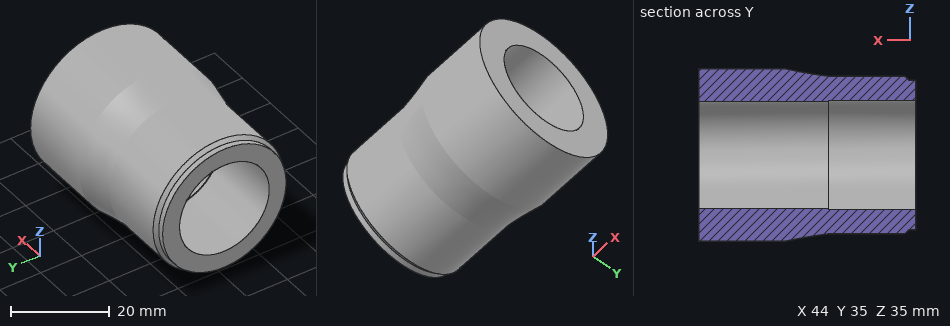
import cadquery as cq

length = 44.0
lip_length = 1.35
chamfer_end = 2.2
flare_start = 17.7
flare_end = 26.4

lip_diameter = 30.3
neck_diameter = 32.0
body_diameter = 35.0

mouth_diameter = 22.0
bore_diameter = 21.65
mouth_end = flare_start

flare_middle = (flare_start + flare_end) / 2
flare_middle_radius = 16.65

outline = (
    cq.Workplane("XY")
    .moveTo(0, 0)
    .lineTo(0, lip_diameter / 2)
    .lineTo(lip_length, lip_diameter / 2)
    .lineTo(chamfer_end, neck_diameter / 2)
    .lineTo(flare_start, neck_diameter / 2)
    .threePointArc((flare_middle, flare_middle_radius), (flare_end, body_diameter / 2))
    .lineTo(length, body_diameter / 2)
    .lineTo(length, 0)
    .close()
)
outer_body = outline.revolve(360, (0, 0, 0), (1, 0, 0))


def bore(diameter, depth):
    """Cylinder along +X that starts at the small end."""
    return cq.Workplane("YZ").circle(diameter / 2).extrude(depth)


result = outer_body.cut(bore(bore_diameter, length)).cut(bore(mouth_diameter, mouth_end))